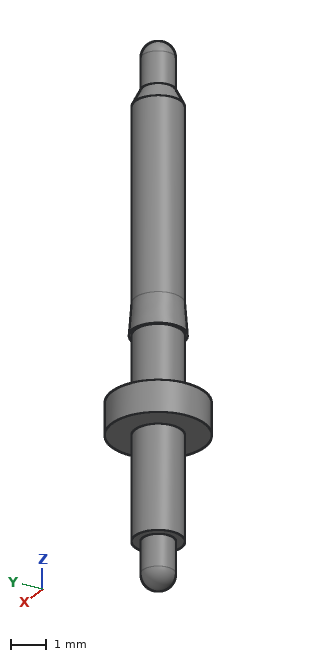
import cadquery as cq
import math

TIP_RADIUS = 0.5
BODY_RADIUS = 0.75
BARB_RADIUS = 0.825
FLANGE_RADIUS = 1.5

TOTAL_LENGTH = 17.0
TIP_LENGTH = 1.5
LOWER_BODY_LENGTH = 3.3
FLANGE_THICKNESS = 1.0
NECK_LENGTH = 2.1
BARB_LENGTH = 1.0
SHOULDER_LENGTH = 0.5

lower_shoulder_z = TIP_LENGTH
flange_bottom_z = lower_shoulder_z + LOWER_BODY_LENGTH
flange_top_z = flange_bottom_z + FLANGE_THICKNESS
barb_bottom_z = flange_top_z + NECK_LENGTH
barb_top_z = barb_bottom_z + BARB_LENGTH
taper_top_z = TOTAL_LENGTH - TIP_LENGTH
taper_bottom_z = taper_top_z - SHOULDER_LENGTH

nose_mid_radius = TIP_RADIUS * math.sin(math.radians(45))
nose_mid_depth = TIP_RADIUS - nose_mid_radius


def half_profile():
    """Closed half section in the XZ plane, with one side on the Z axis."""
    return (
        cq.Workplane("XZ")
        .moveTo(0, 0)
        .threePointArc((nose_mid_radius, nose_mid_depth), (TIP_RADIUS, TIP_RADIUS))
        .lineTo(TIP_RADIUS, lower_shoulder_z)
        .lineTo(BODY_RADIUS, lower_shoulder_z)
        .lineTo(BODY_RADIUS, flange_bottom_z)
        .lineTo(FLANGE_RADIUS, flange_bottom_z)
        .lineTo(FLANGE_RADIUS, flange_top_z)
        .lineTo(BODY_RADIUS, flange_top_z)
        .lineTo(BODY_RADIUS, barb_bottom_z)
        .lineTo(BARB_RADIUS, barb_bottom_z)
        .lineTo(BODY_RADIUS, barb_top_z)
        .lineTo(BODY_RADIUS, taper_bottom_z)
        .lineTo(TIP_RADIUS, taper_top_z)
        .lineTo(TIP_RADIUS, TOTAL_LENGTH - TIP_RADIUS)
        .threePointArc((nose_mid_radius, TOTAL_LENGTH - nose_mid_depth), (0, TOTAL_LENGTH))
        .close()
    )


result = half_profile().revolve(axisStart=(0, 0, 0), axisEnd=(0, 1, 0))